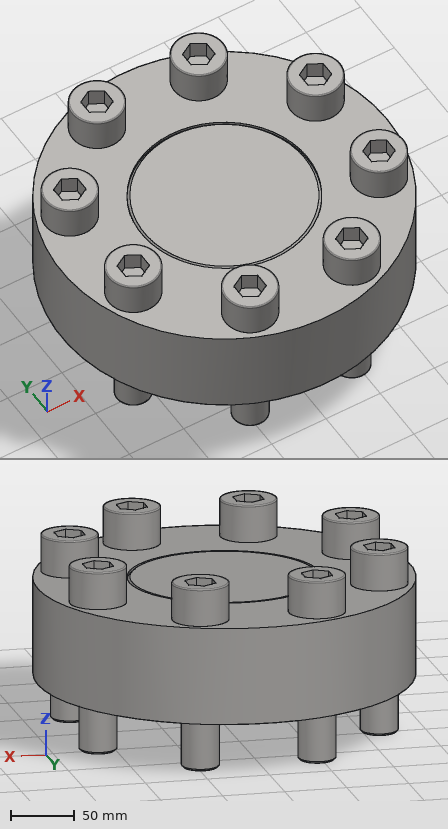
import cadquery as cq
import math

flange_diameter = 300.0
flange_bottom = 42.0
flange_top = 120.0

face_diameter = 205.0
face_height = 4.0

plug_diameter = 152.5
plug_chamfer = 2.25

bolt_count = 8
bolt_circle_diameter = 245.0
first_bolt_offset = 0.5
shank_diameter = 30.0
shank_chamfer = 1.8
head_diameter = 45.0
head_height = 30.0
head_rounding = 1.0
socket_sides = 6
socket_across_flats = 22.0
socket_depth = 15.0
quarter_turn = 90

bolt_circle_radius = bolt_circle_diameter / 2
bolt_top = flange_top + head_height
bolt_spacing = 360.0 / bolt_count
socket_across_corners = socket_across_flats / math.cos(math.pi / socket_sides)


def cylinder(diameter, bottom, top):
    return cq.Workplane("XY").workplane(offset=bottom).circle(diameter / 2).extrude(top - bottom)


def make_flange():
    flange = cylinder(flange_diameter, flange_bottom, flange_top)
    raised_face = cylinder(face_diameter, flange_bottom - face_height, flange_bottom)
    return flange.union(raised_face)


def make_plug_groove():
    """Ring of triangular section: straight outer wall, the plug's chamfer as inner wall."""
    plug_radius = plug_diameter / 2
    section = [
        (plug_radius - plug_chamfer, flange_top),
        (plug_radius, flange_top),
        (plug_radius, flange_top - plug_chamfer),
    ]
    return cq.Workplane("XZ").polyline(section).close().revolve(360, (0, 0, 0), (0, 1, 0))


def make_bolt():
    """Bolt on the Z axis; the socket has two corners on the Y axis."""
    shank = cylinder(shank_diameter, 0, flange_top).faces("<Z").edges().chamfer(shank_chamfer)
    head = cylinder(head_diameter, flange_top, bolt_top).faces(">Z").edges().fillet(head_rounding)
    socket = (
        cq.Workplane("XY")
        .workplane(offset=bolt_top - socket_depth)
        .transformed(rotate=(0, 0, quarter_turn))
        .polygon(socket_sides, socket_across_corners)
        .extrude(socket_depth)
    )
    return shank.union(head).cut(socket)


result = make_flange().cut(make_plug_groove())
bolt = make_bolt()
for index in range(bolt_count):
    angle = math.radians((index + first_bolt_offset) * bolt_spacing)
    x = bolt_circle_radius * math.cos(angle)
    y = bolt_circle_radius * math.sin(angle)
    result = result.union(bolt.translate((x, y, 0)))